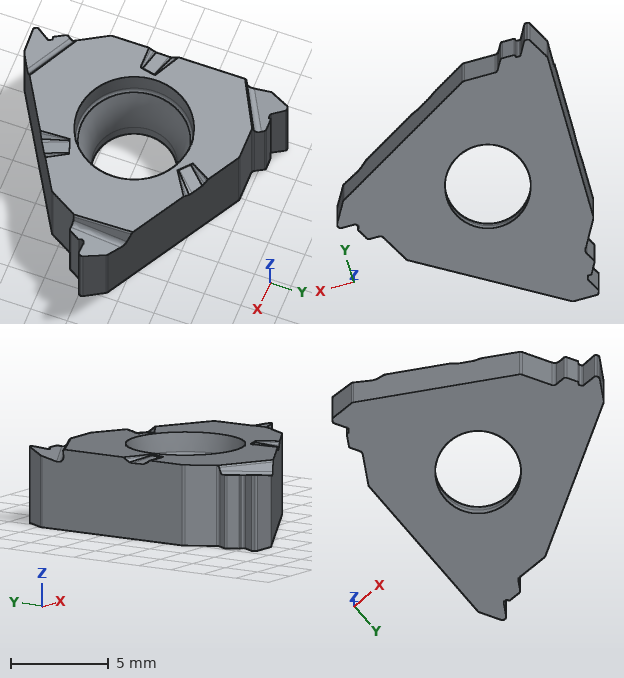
import cadquery as cq
import math

thickness = 4.22
tooth_count = 3
tooth_pitch = 360 / tooth_count
overshoot = 0.7

side_distance = 4.77
crest_flank_distance = 7.0
crest_y = 6.88
inner_flank_distance = 0.08
shelf_y = 6.29
shelf_end_distance = 1.03
notch_y = 6.15
notch_wall_bottom_x = -3.23
notch_wall_top_x = -3.18
shoulder_y = 5.66

side_corner_radius = 0.18
crest_corner_radius = 0.14
notch_root_radius = 0.1
notch_wall_radius = 0.04
shelf_radius = 0.15
step_root_radius = 0.22
shoulder_corner_radius = 0.28

bore_diameter = 4.4
head_diameter = 6.15
head_bottom_diameter = 6.02
head_depth = 1.0
seat_top_diameter = 5.77
seat_top_depth = 1.24
seat_bottom_depth = 3.54

rake_origin_x = 7.77
rake_depth = 0.26
rake_slope = 0.19
groove_fall = 0.094
groove_drift = 0.03
groove_half_length = 5.55
groove_outer_x = 10.41
groove_root_radius = 0.33
edge_break = 0.08
groove_walls = [(0, 5.98, 30), (tooth_pitch, 6.08, -7), (-tooth_pitch, 5.98, 30)]

pocket_mouth_x = -side_distance
pocket_end_x = -3.33
pocket_skew = 0.21
pocket_mouth = [
    (0.57, 0), (0.47, 0.07), (0.25, 0.22), (0.08, 0.25),
    (-0.57, 0.25), (-0.71, 0.18), (-0.89, 0.07), (-0.99, 0),
]
pocket_end = [
    (0.2, 0), (0.17, 0.01), (0.12, 0.04), (0.08, 0.05),
    (-0.57, 0.05), (-0.6, 0.04), (-0.65, 0.01), (-0.68, 0),
]


def line_crossing(angle_a, distance_a, angle_b, distance_b):
    """Crossing of two lines, each given by its normal angle and distance from the origin."""
    a, b = math.radians(angle_a), math.radians(angle_b)
    det = math.sin(b - a)
    x = (distance_a * math.sin(b) - distance_b * math.sin(a)) / det
    y = (distance_b * math.cos(a) - distance_a * math.cos(b)) / det
    return x, y


def turned(point, degrees):
    """Point turned counterclockwise about the origin."""
    angle = math.radians(degrees)
    x, y = point
    return x * math.cos(angle) - y * math.sin(angle), x * math.sin(angle) + y * math.cos(angle)


def rounded_outline(plane, corners):
    """Closed outline through (point, radius) corners, each rounded with its radius."""
    sketch = cq.Workplane(plane)
    for index, (point, radius) in enumerate(corners):
        corner = cq.Vector(*point)
        before = (cq.Vector(*corners[index - 1][0]) - corner).normalized()
        after = (cq.Vector(*corners[(index + 1) % len(corners)][0]) - corner).normalized()
        half_angle = before.getAngle(after) / 2
        setback = radius / math.tan(half_angle)
        entry = corner + before * setback
        leave = corner + after * setback
        bisector = (before + after).normalized()
        middle = corner + bisector * (radius / math.sin(half_angle) - radius)
        if index == 0:
            sketch = sketch.moveTo(entry.x, entry.y)
        else:
            sketch = sketch.lineTo(entry.x, entry.y)
        if radius > 0:
            sketch = sketch.threePointArc((middle.x, middle.y), (leave.x, leave.y))
    return sketch.close()


def plate():
    """Full-height body: one tooth outline repeated around the bore axis."""
    side, crest_flank, inner_flank, flat = 180, 150, 30, 90
    next_side = side - tooth_pitch
    tooth = [
        (line_crossing(side, side_distance, crest_flank, crest_flank_distance), side_corner_radius),
        (line_crossing(crest_flank, crest_flank_distance, flat, crest_y), crest_corner_radius),
        (line_crossing(inner_flank, inner_flank_distance, flat, crest_y), crest_corner_radius),
        (line_crossing(inner_flank, inner_flank_distance, flat, notch_y), notch_root_radius),
        ((notch_wall_bottom_x, notch_y), notch_wall_radius),
        ((notch_wall_top_x, shelf_y), notch_wall_radius),
        (line_crossing(inner_flank, shelf_end_distance, flat, shelf_y), shelf_radius),
        (line_crossing(inner_flank, shelf_end_distance, flat, shoulder_y), step_root_radius),
        (line_crossing(flat, shoulder_y, next_side, side_distance), shoulder_corner_radius),
    ]
    corners = []
    for number in range(tooth_count):
        for point, radius in tooth:
            corners.append((turned(point, -number * tooth_pitch), radius))
    return rounded_outline("XY", corners).extrude(thickness)


def upright_arc_middle(upright_end, other_end):
    """Middle point of an arc that starts upright at one end and curves to the other."""
    width = other_end[0] - upright_end[0]
    rise = other_end[1] - upright_end[1]
    half_sweep = math.atan(abs(width / rise))
    radius = abs(rise) / math.sin(2 * half_sweep)
    return (
        upright_end[0] + math.copysign(radius * (1 - math.cos(half_sweep)), width),
        upright_end[1] + math.copysign(radius * math.sin(half_sweep), rise),
    )


def screw_hole():
    """Tapered head recess, hollow fillet, then a bulging seat that runs tangent into the bore."""
    bore_radius = bore_diameter / 2
    head_bottom = (head_bottom_diameter / 2, thickness - head_depth)
    seat_top = (seat_top_diameter / 2, thickness - seat_top_depth)
    seat_bottom = (bore_radius, thickness - seat_bottom_depth)
    return (
        cq.Workplane("XZ")
        .moveTo(0, thickness)
        .lineTo(head_diameter / 2, thickness)
        .lineTo(*head_bottom)
        .threePointArc(upright_arc_middle(head_bottom, seat_top), seat_top)
        .threePointArc(upright_arc_middle(seat_bottom, seat_top), seat_bottom)
        .lineTo(bore_radius, 0)
        .lineTo(0, 0)
        .close()
        .revolve(360, (0, 0, 0), (0, 1, 0))
    )


def groove_prism(corners, drift, fall):
    """Prism along a groove that drifts outward and falls; corners are (X, Z) at Y = 0."""
    start = (-drift * groove_half_length, -groove_half_length, fall * groove_half_length)
    end = tuple(-value for value in start)
    section = rounded_outline("XZ", corners).wires().val().translate(cq.Vector(*start))
    path = cq.Edge.makeLine(cq.Vector(*start), cq.Vector(*end))
    return cq.Workplane(cq.Solid.sweep(section, [], cq.Wire.assembleEdges([path])))


def rake_z(x):
    """Height of the rake face at Y = 0."""
    return thickness - rake_depth - rake_slope * (rake_origin_x - x)


def chip_groove(wall_x, lean):
    """Cutter for one tooth: leaning wall, rounded root, sloping rake face and top bevel."""
    lean_ratio = math.tan(math.radians(lean))
    bevel_z = thickness - edge_break
    root_drop = (bevel_z - rake_z(wall_x)) / (1 + rake_slope * lean_ratio)
    root = (wall_x + root_drop * lean_ratio, bevel_z - root_drop)
    wall_top = (wall_x - overshoot * lean_ratio, bevel_z + overshoot)
    groove = groove_prism(
        [
            (wall_top, 0),
            (root, groove_root_radius),
            ((groove_outer_x, rake_z(groove_outer_x)), 0),
            ((groove_outer_x, bevel_z + overshoot), 0),
        ],
        groove_drift,
        groove_fall,
    )
    bevel = groove_prism(
        [
            ((wall_x, bevel_z), 0),
            ((wall_x + edge_break, bevel_z), 0),
            ((wall_x + edge_break, thickness), 0),
            ((wall_x - edge_break, thickness), 0),
        ],
        groove_drift - groove_fall * lean_ratio,
        0,
    )
    return groove.union(bevel)


def side_pocket():
    """Shallow ramp that opens through the long side and narrows toward the bore."""
    sections = []
    length = pocket_end_x - pocket_mouth_x
    for travel in (-overshoot, length):
        share = travel / length
        points = []
        for (mouth_y, mouth_depth), (end_y, end_depth) in zip(pocket_mouth, pocket_end):
            y = mouth_y + share * (end_y - mouth_y) - pocket_skew * travel
            depth = mouth_depth + share * (end_depth - mouth_depth)
            x = pocket_mouth_x + travel + pocket_skew * y
            points.append(cq.Vector(x, y, thickness - depth))
        sections.append(cq.Wire.makePolygon(points, close=True))
    return cq.Workplane(cq.Solid.makeLoft(sections, True))


result = plate().cut(screw_hole())
axis_ends = ((0, 0, 0), (0, 0, 1))
for direction, wall_x, lean in groove_walls:
    result = result.cut(chip_groove(wall_x, lean).rotate(*axis_ends, direction))
for number in range(tooth_count):
    result = result.cut(side_pocket().rotate(*axis_ends, number * tooth_pitch))